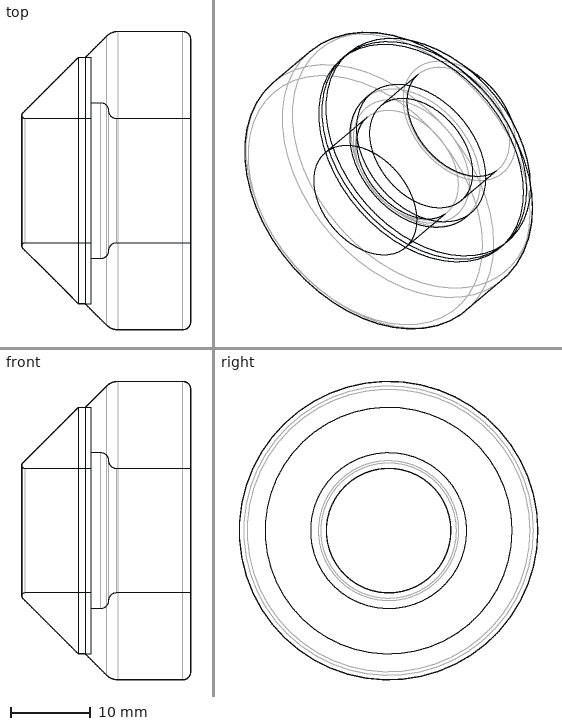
import cadquery as cq
import math

outer_radius = 18.75
overall_length = 21.22
bore_radius = 7.8
front_edge_fillet = 2.0
rear_edge_fillet = 1.0

diagonal = math.sqrt(0.5)
tip_fillet = 0.4
nose_cone_offset = bore_radius + tip_fillet / diagonal
base_cone_offset = 7.5

rim_radius = 15.5
seat_x = 8.7

inflection_radius = 17.6 / 2
inflection_x = 10.9
blend_radius = inflection_radius - bore_radius
relief_radius = inflection_radius + blend_radius


def revolve_about_x(profile):
    """Turn a closed (X, radius) profile into a ring around the X axis."""
    return profile.close().revolve(360, (0, 0, 0), (1, 0, 0))


def make_insert():
    """Cone with a rounded tip, a short cylindrical rim and a plain bore."""
    tip_centre_radius = bore_radius + tip_fillet
    tip_cone_x = tip_fillet * (1 - diagonal)
    return revolve_about_x(
        cq.Workplane("XY")
        .moveTo(tip_fillet, bore_radius)
        .threePointArc((0, tip_centre_radius), (tip_cone_x, tip_cone_x + nose_cone_offset))
        .lineTo(rim_radius - nose_cone_offset, rim_radius)
        .lineTo(seat_x, rim_radius)
        .lineTo(seat_x, bore_radius)
    )


def make_base():
    """Ring with a conical front, rounded edges and a relieved bore behind the seat."""
    arc_angle = math.pi / 8
    cylinder_x = outer_radius - base_cone_offset + front_edge_fillet * math.tan(arc_angle)
    cone_end_x = cylinder_x - front_edge_fillet * diagonal
    fillet_centre_radius = outer_radius - front_edge_fillet
    return revolve_about_x(
        cq.Workplane("XY")
        .moveTo(rim_radius - base_cone_offset, rim_radius)
        .lineTo(cone_end_x, cone_end_x + base_cone_offset)
        .threePointArc(
            (
                cylinder_x - front_edge_fillet * math.sin(arc_angle),
                fillet_centre_radius + front_edge_fillet * math.cos(arc_angle),
            ),
            (cylinder_x, outer_radius),
        )
        .lineTo(overall_length - rear_edge_fillet, outer_radius)
        .threePointArc(
            (
                overall_length - rear_edge_fillet * (1 - diagonal),
                outer_radius - rear_edge_fillet * (1 - diagonal),
            ),
            (overall_length, outer_radius - rear_edge_fillet),
        )
        .lineTo(overall_length, bore_radius)
        .lineTo(inflection_x + blend_radius, bore_radius)
        .threePointArc(
            (
                inflection_x + blend_radius * (1 - diagonal),
                bore_radius + blend_radius * (1 - diagonal),
            ),
            (inflection_x, inflection_radius),
        )
        .threePointArc(
            (
                inflection_x - blend_radius * (1 - diagonal),
                relief_radius - blend_radius * (1 - diagonal),
            ),
            (inflection_x - blend_radius, relief_radius),
        )
        .lineTo(seat_x, relief_radius)
        .lineTo(seat_x, rim_radius)
    )


insert = make_insert()
base = make_base()

result = cq.Compound.makeCompound([insert.val(), base.val()])